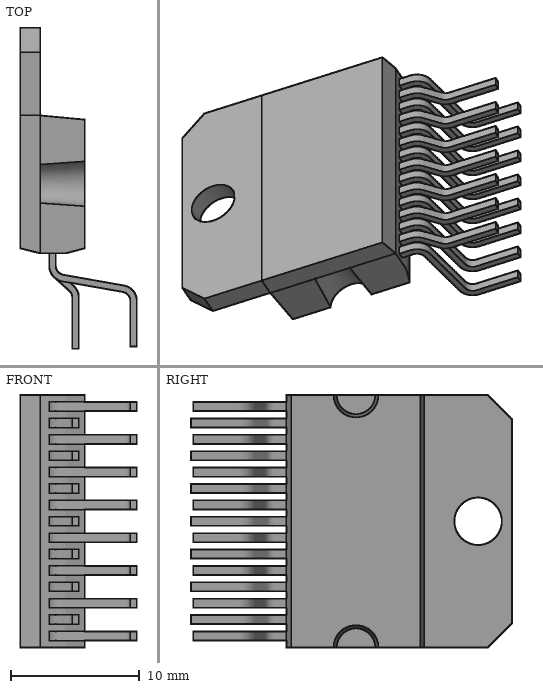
import cadquery as cq
import math


total_length = 24.92
total_depth = 9.07
short_lead_drop = 7.4
width = 19.6
tab_top = total_length - short_lead_drop

plate_thickness = 1.57
package_depth = 5.03
tab_base = 10.72
block_front_height = 10.4
underside_flat_end = 3.55
underside_rise = 0.4

tab_chamfer = 1.9
hole_diameter = 3.66
hole_from_top = 2.65

notch_center_y = 5.4
notch_back_radius = 1.5
notch_front_radius = 1.75

lead_count = 15
lead_pitch = 1.27
lead_width = 0.72
lead_thickness = 0.52
lead_root_x = 2.52
bend_start = 0.95
bend_radius = 0.97
long_lead_x = total_depth - lead_thickness / 2
long_lead_angle = 80.0
long_lead_drop = 7.23
short_lead_x = 4.3
short_lead_angle = 48.0


def extrude_across_width(points):
    """Extrude an XY outline over the full width, centred on Z = 0."""
    return cq.Workplane("XY").polyline(points).close().extrude(width / 2, both=True)


def make_tab():
    """Flat tab with chamfered top corners and a mounting hole."""
    tab_height = tab_top - tab_base
    tab = (
        cq.Workplane("XY")
        .box(plate_thickness, tab_height, width, centered=(False, False, True))
        .translate((0, tab_base, 0))
        .edges(">Y and |X")
        .chamfer(tab_chamfer)
    )
    hole = (
        cq.Workplane("YZ")
        .center(tab_top - hole_from_top, 0)
        .circle(hole_diameter / 2)
        .extrude(plate_thickness)
    )
    return tab.cut(hole)


def make_back_plate():
    """Plate below the tab, with a sloped underside."""
    return extrude_across_width(
        [
            (0, underside_rise),
            (plate_thickness, 0),
            (plate_thickness, tab_base),
            (0, tab_base),
        ]
    )


def make_notch(side):
    """Cone that widens to the front, centred on one side face of the block."""
    axis_start = cq.Vector(plate_thickness, notch_center_y, side * width / 2)
    cone = cq.Solid.makeCone(
        notch_back_radius,
        notch_front_radius,
        package_depth - plate_thickness,
        axis_start,
        cq.Vector(1, 0, 0),
    )
    return cq.Workplane("XY").add(cone)


def make_lead(z, end_x, angle, drop):
    """Lead of rectangular section, bent outward by `angle` degrees and back down again."""
    turn = math.radians(angle)
    first_corner_y = -bend_start - bend_radius * math.tan(turn / 2)
    second_corner_y = first_corner_y - (end_x - lead_root_x) / math.tan(turn)
    half_thickness = lead_thickness / 2

    def arc_point(center_x, center_y, radius, direction):
        return (center_x + radius * math.cos(direction), center_y + radius * math.sin(direction))

    first_center = (lead_root_x + bend_radius, -bend_start)
    second_center = (end_x - bend_radius, second_corner_y - bend_radius * math.tan(turn / 2))
    inner = bend_radius - half_thickness
    outer = bend_radius + half_thickness
    outline = (
        cq.Workplane("XY", origin=(0, 0, z - lead_width / 2))
        .moveTo(lead_root_x - half_thickness, 0)
        .lineTo(lead_root_x - half_thickness, -bend_start)
        .threePointArc(
            arc_point(*first_center, outer, math.pi + turn / 2),
            arc_point(*first_center, outer, math.pi + turn),
        )
        .lineTo(*arc_point(*second_center, inner, turn))
        .threePointArc(
            arc_point(*second_center, inner, turn / 2),
            arc_point(*second_center, inner, 0),
        )
        .lineTo(end_x - half_thickness, -drop)
        .lineTo(end_x + half_thickness, -drop)
        .lineTo(*arc_point(*second_center, outer, 0))
        .threePointArc(
            arc_point(*second_center, outer, turn / 2),
            arc_point(*second_center, outer, turn),
        )
        .lineTo(*arc_point(*first_center, inner, math.pi + turn))
        .threePointArc(
            arc_point(*first_center, inner, math.pi + turn / 2),
            arc_point(*first_center, inner, math.pi),
        )
        .lineTo(lead_root_x + half_thickness, 0)
        .close()
    )
    return outline.extrude(lead_width)


def make_front_block():
    """Block in front of the plate, with two side notches and a row of long and short leads."""
    block = extrude_across_width(
        [
            (plate_thickness, 0),
            (underside_flat_end, 0),
            (package_depth, underside_rise),
            (package_depth, block_front_height),
            (plate_thickness, tab_base),
        ]
    )
    for side in (-1, 1):
        block = block.cut(make_notch(side))
    for index in range(lead_count):
        z = (index - (lead_count - 1) / 2) * lead_pitch
        if index % 2 == 0:
            lead = make_lead(z, long_lead_x, long_lead_angle, long_lead_drop)
        else:
            lead = make_lead(z, short_lead_x, short_lead_angle, short_lead_drop)
        block = block.union(lead)
    return block


tab = make_tab()
back_plate = make_back_plate()
front_block = make_front_block()

result = cq.Compound.makeCompound(
    [tab.solids().val(), back_plate.solids().val(), front_block.solids().val()]
)